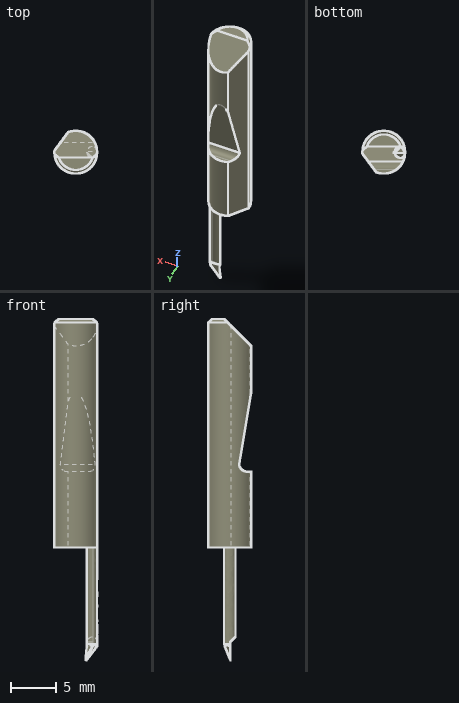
import cadquery as cq
import math

total_length = 37.88
shank_bottom = 12.5
shank_radius = 2.4
top_chamfer = 0.4

flat_distance = 2.0
flat_direction = 143.4

bevel_edge_y = -0.6
notch_top = 29.7
notch_floor = 20.95
notch_slope = 9.5
notch_radius = 0.9

rake_y = 0.08
neck_half_width = 0.65
neck_left = 1.2
neck_shoulder_x = 1.9
neck_end = 1.8
rake_top = 2.05

tip_depth = 0.65
shoulder_z = 1.6
cutting_profile = [
    (neck_left, neck_end),
    (neck_left, shoulder_z),
    (1.05, 0.1),
    (1.17, 0.0),
    (shank_radius, 1.6),
    (shank_radius, neck_end),
]
back_profile = [
    (1.6, neck_end),
    (1.75, shoulder_z),
    (1.8, 1.55),
    (1.85, 1.55),
    (1.97, 1.7),
    (1.97, neck_end),
]


def prism_along_x(outline):
    """Extrude a closed YZ outline across the full shank width."""
    return outline.close().extrude(shank_radius, both=True)


def make_shank():
    """Round shank with a chamfered top and one lengthwise flat."""
    shank = (
        cq.Workplane("XY", origin=(0, 0, shank_bottom))
        .circle(shank_radius)
        .extrude(total_length - shank_bottom)
        .faces(">Z")
        .chamfer(top_chamfer)
    )
    flat_cutter = (
        cq.Workplane("XY")
        .box(shank_radius, 2 * shank_radius, total_length, centered=(False, True, False))
        .translate((flat_distance, 0, 0))
        .rotate((0, 0, 0), (0, 0, 1), flat_direction)
    )
    return shank.cut(flat_cutter)


def make_bevel():
    """Triangular cutter for the 45 degree bevel at the top."""
    drop = shank_radius - bevel_edge_y
    outline = (
        cq.Workplane("YZ")
        .moveTo(bevel_edge_y, total_length)
        .lineTo(shank_radius, total_length - drop)
        .lineTo(shank_radius, total_length)
    )
    return prism_along_x(outline)


def make_notch():
    """Notch cutter: sloping face, tangent corner arc and level floor."""
    angle = math.radians(notch_slope)
    arc_center_z = notch_floor + notch_radius
    tangent_z = arc_center_z - notch_radius * math.sin(angle)
    tangent_y = shank_radius - (notch_top - tangent_z) * math.tan(angle)
    arc_center_y = tangent_y + notch_radius * math.cos(angle)
    middle = math.radians(180 + (90 + notch_slope) / 2)
    arc_middle = (
        arc_center_y + notch_radius * math.cos(middle),
        arc_center_z + notch_radius * math.sin(middle),
    )
    outline = (
        cq.Workplane("YZ")
        .moveTo(shank_radius, notch_top)
        .lineTo(tangent_y, tangent_z)
        .threePointArc(arc_middle, (arc_center_y, notch_floor))
        .lineTo(shank_radius, notch_floor)
    )
    return prism_along_x(outline)


def keel_arc_middle(side):
    """Middle of the arc from the keel to the shoulder on one side (+1 or -1 in Y).

    The arc runs parallel to X where it reaches the shoulder.
    """
    run = neck_shoulder_x - neck_left
    rise = neck_half_width - side * rake_y
    radius = (run**2 + rise**2) / (2 * rise)
    half_angle = math.atan2(rise, run)
    x = neck_shoulder_x - radius * math.sin(half_angle)
    y = side * (neck_half_width - radius * (1 - math.cos(half_angle)))
    return x, y


def make_neck():
    """Neck bounded by two keel arcs and a tangent half ellipse, bevelled behind the rake plane."""
    keel = (neck_left, rake_y)
    upper_shoulder = (neck_shoulder_x, neck_half_width)
    section = (
        cq.Workplane("XY")
        .moveTo(*keel)
        .threePointArc(keel_arc_middle(1), upper_shoulder)
        .ellipseArc(
            shank_radius - neck_shoulder_x,
            neck_half_width,
            angle1=-90,
            angle2=90,
            sense=-1,
            startAtCurrent=True,
        )
        .threePointArc(keel_arc_middle(-1), keel)
        .close()
        .extrude(shank_bottom)
    )
    side_outline = (
        cq.Workplane("YZ")
        .moveTo(-neck_half_width, shank_bottom)
        .lineTo(-neck_half_width, neck_end)
        .lineTo(rake_y, neck_end)
        .lineTo(rake_y, rake_top)
        .lineTo(neck_half_width, rake_top + neck_half_width - rake_y)
        .lineTo(neck_half_width, shank_bottom)
    )
    return section.intersect(prism_along_x(side_outline))


def make_tip():
    """Cutting tip tapering from the rake plane toward -Y."""
    return (
        cq.Workplane("XZ", origin=(0, rake_y, 0))
        .polyline(cutting_profile)
        .close()
        .workplane(offset=tip_depth)
        .polyline(back_profile)
        .close()
        .loft(ruled=True)
    )


shank = make_shank().cut(make_bevel()).cut(make_notch())
result = shank.union(make_neck()).union(make_tip())